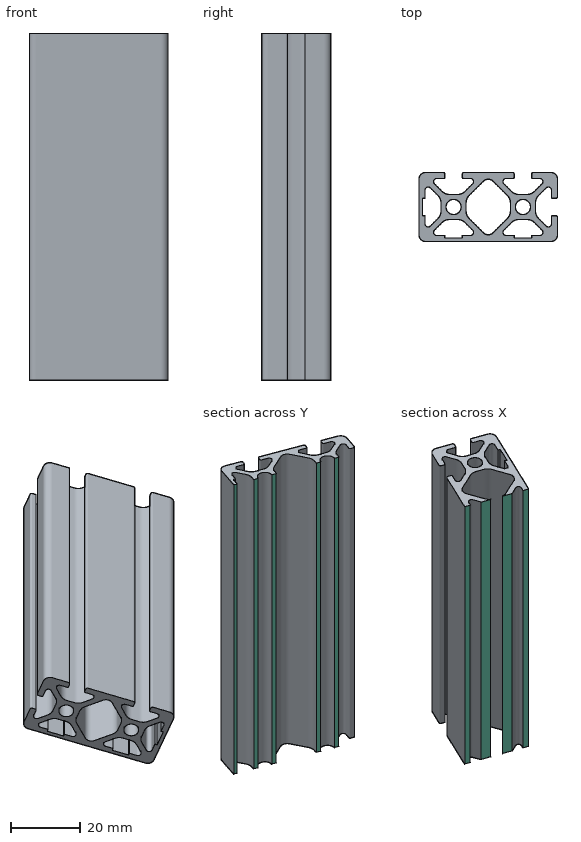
import cadquery as cq
import math

cell = 20.0
length = 100.0
corner_radius = 2.0
core_hole_diameter = 4.3

slot_opening = 5.0
lip_thickness = 1.8
lip_edge_radius = 0.5
lip_inner_radius = 0.3
slot_corner_radius = 0.9
core_wall = 1.5
floor_radius = 3.0
web_thickness = 1.7
closed_wall = 1.1

cavity_tip_radius = 2.0

half_cell = cell / 2
floor_distance = core_hole_diameter / 2 + core_wall
web_offset = web_thickness / math.sqrt(2)
cell_centers = (-half_cell, half_cell)


def prism(points):
    """Full-length prism on a closed outline."""
    return cq.Workplane("XY").polyline(points).close().extrude(length)


def fillet_at(body, points, radius):
    """Round the vertical edges of a body that pass through the given points."""
    for x, y in points:
        body = body.edges(cq.NearestToPointSelector((x, y, length / 2))).fillet(radius)
    return body


def slot_chamber():
    """Wide inner part of a slot that faces +Y, in a cell centred on the origin."""
    half_floor = floor_distance - web_offset
    lip_inside = half_cell - lip_thickness
    half_width = lip_inside - web_offset
    floor_corners = [(-half_floor, floor_distance), (half_floor, floor_distance)]
    lip_corners = [(half_width, lip_inside), (-half_width, lip_inside)]
    body = fillet_at(prism(floor_corners + lip_corners), floor_corners, floor_radius)
    return fillet_at(body, lip_corners, slot_corner_radius)


def slot_mouth(outer_wall):
    """Narrow part of a slot, ending the given distance inside the outer face."""
    depth = lip_thickness - outer_wall
    center_y = half_cell - lip_thickness + depth / 2
    return cq.Workplane("XY").center(0, center_y).rect(slot_opening, depth).extrude(length)


def place(body, center_x, angle):
    """Turn a slot about Z, then move it to its cell."""
    return body.rotate((0, 0, 0), (0, 0, 1), angle).translate((center_x, 0, 0))


def central_cavity():
    """Diamond between the two cells, with flat sides and rounded tips."""
    half_width = half_cell - floor_distance
    half_side = floor_distance - web_offset
    half_height = half_cell - web_offset
    right_corners = [(half_width, -half_side), (half_width, half_side)]
    left_corners = [(-half_width, half_side), (-half_width, -half_side)]
    top_tip = (0, half_height)
    bottom_tip = (0, -half_height)
    body = prism([bottom_tip] + right_corners + [top_tip] + left_corners)
    body = fillet_at(body, right_corners + left_corners, floor_radius)
    return fillet_at(body, [bottom_tip, top_tip], cavity_tip_radius)


result = cq.Workplane("XY").rect(2 * cell, cell).extrude(length).edges("|Z").fillet(corner_radius)

chamber = slot_chamber()
open_slot = chamber.union(slot_mouth(0))
closed_slot = chamber.union(slot_mouth(closed_wall))
for center_x in cell_centers:
    result = result.cut(place(open_slot, center_x, 0))
    result = result.cut(place(closed_slot, center_x, 180))
result = result.cut(place(open_slot, half_cell, -90))
result = result.cut(place(closed_slot, -half_cell, 90))

half_opening = slot_opening / 2
lip_inset_radii = ((0, lip_edge_radius), (lip_thickness, lip_inner_radius))
for inset, radius in lip_inset_radii:
    top_edges = [(x + side * half_opening, half_cell - inset) for x in cell_centers for side in (-1, 1)]
    side_edges = [(cell - inset, side * half_opening) for side in (-1, 1)]
    result = fillet_at(result, top_edges + side_edges, radius)

result = result.cut(central_cavity())
core_points = [(x, 0) for x in cell_centers]
core_holes = cq.Workplane("XY").pushPoints(core_points).circle(core_hole_diameter / 2).extrude(length)
result = result.cut(core_holes)